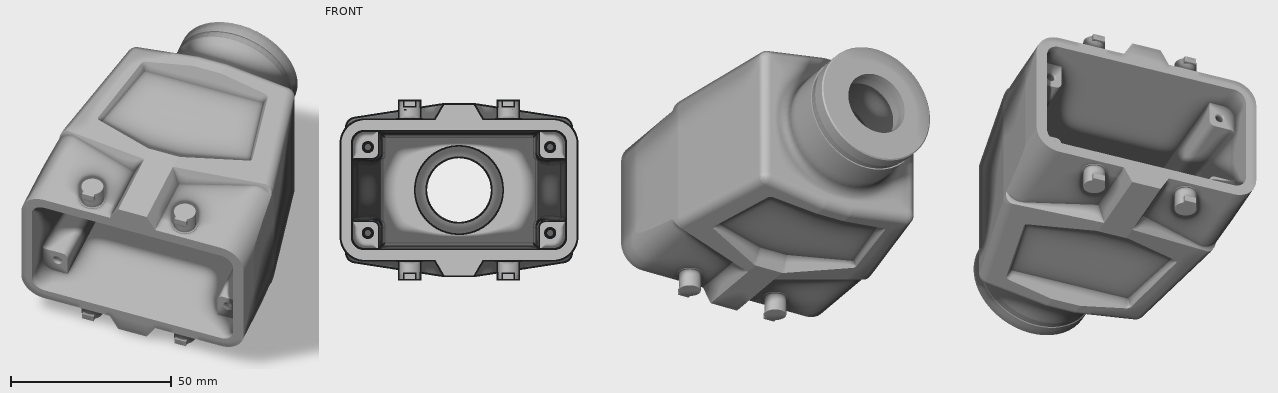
import cadquery as cq
import math


length = 95.0
mouth_half_width = 37.0
mouth_half_height = 22.0
mouth_radius = 7.6
total_half_height = 27.98

straight_end = 9.0
fold_y = 32.0
fold_half_width = 35.1
body_end = 72.2
end_half_width = 27.3

ridge_half_width = 4.75
ridge_height = 26.9
roof_edge_height = 21.9
roof_side_radius = 3.0
body_end_radius = 2.85

pocket_draft = 30.0
shoulder_y = 23.2
shoulder_angle = 19.0
label_floor = 21.85
label_far_y = 63.4
label_far_half_width = 19.7
label_near_y = 37.9
label_near_half_width = 24.6
label_point_y = 30.9

collar_radius = 19.5
collar_fillet = 2.8
groove_depth = 0.4
groove_start = 87.9
groove_end = 90.4
collar_edge = 0.4
bore_radius = 13.8
cable_hole_radius = 10.2

wall = 3.5
cavity_corner_radius = mouth_radius - wall
cavity_end_radius = 0.9
cavity_draft = 1.0
post_face_y = straight_end
post_inner_x = 23.9
post_inner_z = 8.7
post_radius = 2.85
post_fillet = 1.1
screw_x = 28.4
screw_z = 13.4
screw_radius = 1.2
screw_chamfer = 0.4
screw_depth = 11.4

pin_x = 15.4
pin_y = 5.4
pin_radius = 3.4
tab_width = 3.8
tab_height = 2.0
tab_reach = 4.1
flange_radius = 4.0
flange_height = 0.2

clearance = 19.0


def mirrored(points):
    """Complete a right-hand chain of points with its left-hand mirror image."""
    return points + [(-x, y) for x, y in reversed(points)]


def both_roofs(shape):
    return shape.union(shape.mirror("XY"))


def plan_block(inset, half_height, end_y):
    """Block with the body's plan outline, its sides moved inwards by inset."""
    side_slope = (fold_half_width - end_half_width) / (body_end - fold_y)
    end_x = fold_half_width - side_slope * (end_y - fold_y)
    outline = mirrored([
        (mouth_half_width - inset, 0),
        (mouth_half_width - inset, straight_end),
        (fold_half_width - inset, fold_y),
        (end_x - inset, end_y),
    ])
    return cq.Workplane("XY").polyline(outline).close().extrude(half_height, both=True)


def mouth_bar(half_width, half_height, radius, bar_length):
    """Rounded rectangular bar running from the mouth towards the collar."""
    bar = cq.Workplane("XY").box(2 * half_width, bar_length, 2 * half_height, centered=(True, False, True))
    return bar.edges("|Y").fillet(radius)


def roofed_body():
    """Body at full height, before the pockets are cut into its roofs."""
    section = [
        (mouth_half_width, -roof_edge_height),
        (mouth_half_width, roof_edge_height),
        (ridge_half_width, ridge_height),
        (-ridge_half_width, ridge_height),
        (-mouth_half_width, roof_edge_height),
        (-mouth_half_width, -roof_edge_height),
        (-ridge_half_width, -ridge_height),
        (ridge_half_width, -ridge_height),
    ]
    prism = cq.Workplane("XZ").polyline(section).close().extrude(-body_end)
    block = prism.intersect(plan_block(0, total_half_height, body_end))
    for side in (-1, 1):
        for roof in (-1, 1):
            corner_edges = cq.selectors.BoxSelector(
                (side * ridge_half_width, 0, roof * mouth_radius),
                (side * (mouth_half_width + 0.95), body_end, roof * ridge_height),
            )
            block = block.edges(corner_edges).edges("not(#Y)").fillet(roof_side_radius)
    return block.faces(">Y").edges().fillet(body_end_radius)


def shoulder_pockets():
    """Tools that step the roofs down to the mouth bar on both sides of the ridge."""
    far_x = mouth_half_width + clearance
    far_y = shoulder_y + (far_x - ridge_half_width) * math.tan(math.radians(shoulder_angle))
    outline = [
        (ridge_half_width, -clearance),
        (ridge_half_width, shoulder_y),
        (far_x, far_y),
        (far_x, -clearance),
    ]
    depth = ridge_height - (mouth_half_height - mouth_radius)
    pocket = (
        cq.Workplane("XY").workplane(offset=ridge_height).polyline(outline).close()
        .extrude(-depth, taper=pocket_draft)
    )
    pockets = both_roofs(pocket.union(pocket.mirror("YZ")))
    return pockets.cut(mouth_bar(mouth_half_width, mouth_half_height, mouth_radius, length))


def label_recesses():
    outline = mirrored([
        (ridge_half_width, label_point_y),
        (label_near_half_width, label_near_y),
        (label_far_half_width, label_far_y),
    ])
    recess = (
        cq.Workplane("XY").workplane(offset=label_floor).polyline(outline).close()
        .extrude(clearance / 2, taper=-pocket_draft)
    )
    return both_roofs(recess)


def collar():
    ring = cq.Workplane("XZ").circle(collar_radius).extrude(-length)
    ring = ring.faces(">Y").edges().chamfer(collar_edge)
    groove = (
        cq.Workplane("XZ").workplane(offset=-groove_start)
        .circle(collar_radius + clearance).circle(collar_radius - groove_depth)
        .extrude(groove_start - groove_end)
    )
    return ring.cut(groove)


def collar_flare():
    """Concave fillet ring where the collar meets the end of the body."""
    top = body_end + collar_fillet
    foot = collar_radius + collar_fillet
    dip = collar_fillet * (1 - math.sqrt(0.5))
    profile = (
        cq.Workplane("XY").moveTo(0, body_end).lineTo(foot, body_end)
        .threePointArc((collar_radius + dip, body_end + dip), (collar_radius, top))
        .lineTo(0, top).close()
    )
    return profile.revolve(360, (0, 0, 0), (0, 1, 0))


def screw_hole():
    """Tool for a chamfered blind hole for one screw post."""
    plane = cq.Workplane("XZ", origin=(screw_x, post_face_y, screw_z))
    hole = plane.circle(screw_radius).extrude(-screw_depth)
    countersink = plane.circle(screw_radius + screw_chamfer).extrude(-screw_chamfer, taper=45)
    return hole.union(countersink)


def screw_post():
    """Drafted post in one corner of the cavity, growing from the end wall towards the mouth."""
    outer_x = mouth_half_width + clearance
    outer_z = mouth_half_height + clearance
    root_y = body_end - wall
    profile = (
        cq.Workplane("XZ", origin=(0, root_y, 0))
        .moveTo(post_inner_x + post_radius, post_inner_z)
        .lineTo(outer_x, post_inner_z)
        .lineTo(outer_x, outer_z)
        .lineTo(post_inner_x, outer_z)
        .lineTo(post_inner_x, post_inner_z + post_radius)
        .radiusArc((post_inner_x + post_radius, post_inner_z), -post_radius)
        .close()
    )
    return profile.extrude(root_y - post_face_y, taper=cavity_draft).cut(screw_hole())


def cavity():
    """Hollow of the hood: a drafted pocket following the plan outline, less four screw posts."""
    end_y = body_end - wall
    half_height = mouth_half_height - wall
    drafted = (
        cq.Workplane("XZ")
        .sketch().rect(2 * (mouth_half_width - wall), 2 * half_height)
        .vertices().fillet(cavity_corner_radius).finalize()
        .extrude(-end_y, taper=cavity_draft)
    )
    space = drafted.intersect(plan_block(wall, mouth_half_height, end_y))
    posts = both_roofs(screw_post())
    space = space.cut(posts).cut(posts.mirror("YZ"))
    for side in (-1, 1):
        for roof in (-1, 1):
            post_feet = cq.selectors.BoxSelector(
                (side * (post_inner_x + post_radius + 0.95), post_face_y, roof * (post_inner_z - 0.95)),
                (side * mouth_half_width, end_y, roof * (post_inner_z + 1.9)),
            )
            space = space.edges(post_feet).edges("not(#Y)").fillet(post_fillet)
    return space.faces(">Y").edges().fillet(cavity_end_radius)


def pins():
    """Locking pins, each with a small tab at the tip facing the mouth."""
    root_z = mouth_half_height - wall / 2
    tab_z = total_half_height - tab_height
    spots = [(-pin_x, pin_y), (pin_x, pin_y)]
    posts = (
        cq.Workplane("XY").workplane(offset=root_z).pushPoints(spots)
        .circle(pin_radius).extrude(total_half_height - root_z)
    )
    tabs = (
        cq.Workplane("XY").workplane(offset=tab_z)
        .pushPoints([(x, y - tab_reach / 2) for x, y in spots])
        .rect(tab_width, tab_reach).extrude(tab_height)
    )
    flanges = (
        cq.Workplane("XY").workplane(offset=root_z).pushPoints(spots)
        .circle(flange_radius).extrude(mouth_half_height + flange_height - root_z)
    )
    return both_roofs(posts.union(tabs).union(flanges))


def lower_bar():
    """Rounded body between the mouth and the fold, under the shoulder pockets."""
    bar = mouth_bar(mouth_half_width, mouth_half_height, mouth_radius, fold_y)
    return bar.intersect(plan_block(0, total_half_height, body_end))


def cable_passage():
    """Stepped bore from the cavity out through the collar."""
    bore = cq.Workplane("XZ").circle(bore_radius).extrude(-groove_start)
    cable_hole = cq.Workplane("XZ").circle(cable_hole_radius).extrude(-length)
    return bore.union(cable_hole)


body = roofed_body().cut(shoulder_pockets()).union(lower_bar()).cut(label_recesses())
body = body.union(collar()).union(collar_flare())
body = body.cut(cavity()).cut(cable_passage())
result = body.union(pins())